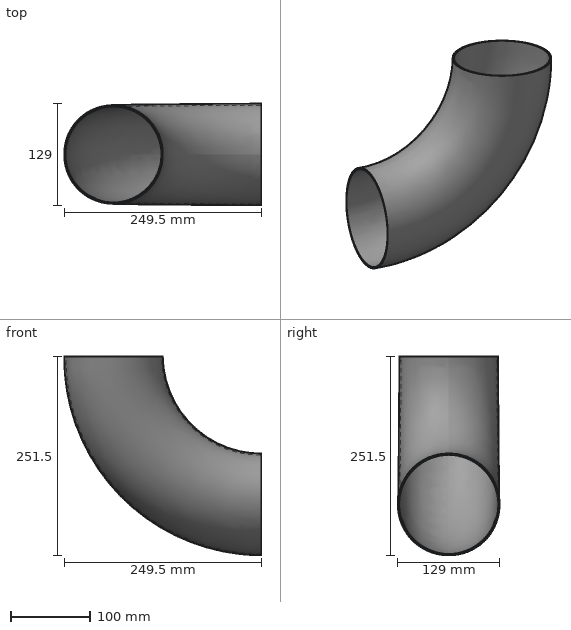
import cadquery as cq

HEIGHT = 251.5
TOP_DIAMETER = 125.0
SIDE_DIAMETER = 129.0
WALL = 2.0

BEND_RADIUS = HEIGHT - SIDE_DIAMETER / 2


def bend_path():
    """Quarter circle from the upward opening to the +X opening."""
    middle = BEND_RADIUS * (1 - 0.5 ** 0.5)
    return (
        cq.Workplane("XZ")
        .moveTo(0, BEND_RADIUS)
        .threePointArc((middle, middle), (BEND_RADIUS, 0))
        .val()
    )


def tapered_bend(top_diameter, side_diameter):
    """Solid bend that blends from the top circle to the side circle."""
    top_center = cq.Vector(0, 0, BEND_RADIUS)
    side_center = cq.Vector(BEND_RADIUS, 0, 0)
    top_circle = cq.Wire.makeCircle(top_diameter / 2, top_center, cq.Vector(0, 0, -1))
    side_circle = cq.Wire.makeCircle(side_diameter / 2, side_center, cq.Vector(1, 0, 0))
    return cq.Workplane(cq.Solid.sweep_multi([top_circle, side_circle], bend_path()))


outside = tapered_bend(TOP_DIAMETER, SIDE_DIAMETER)
bore = tapered_bend(TOP_DIAMETER - 2 * WALL, SIDE_DIAMETER - 2 * WALL)
result = outside.cut(bore)